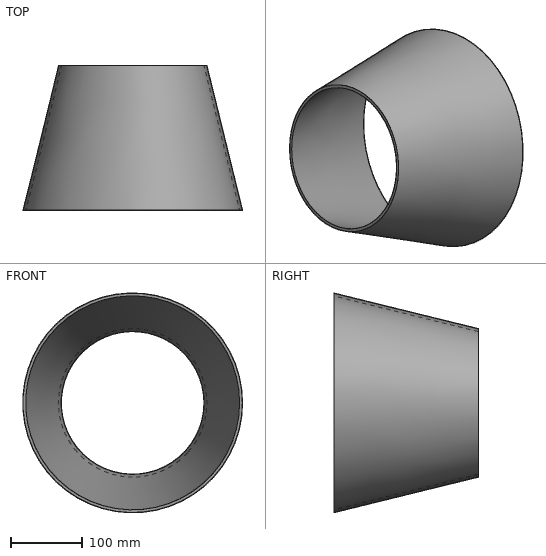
import cadquery as cq
import math

large_diameter = 308.0
small_diameter = 208.0
length = 203.0
wall = 4.0

large_radius = large_diameter / 2
small_radius = small_diameter / 2
half_angle = math.atan2(large_radius - small_radius, length)
radial_wall = wall / math.cos(half_angle)


def reducer_wall():
    """Revolve the slanted wall section about the Y axis, large end at Y = 0."""
    section = [
        (large_radius - radial_wall, 0),
        (large_radius, 0),
        (small_radius, length),
        (small_radius - radial_wall, length),
    ]
    return cq.Workplane("XY").polyline(section).close().revolve(360, (0, 0, 0), (0, 1, 0))


result = reducer_wall()